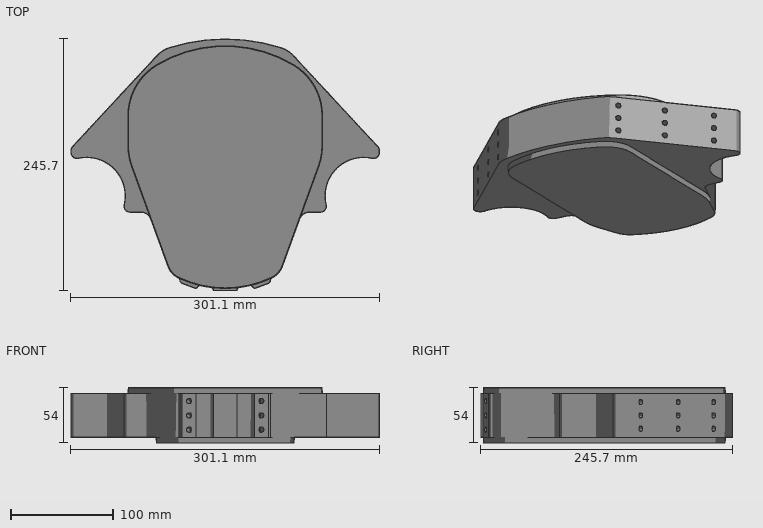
import cadquery as cq
import math

COVER_THICKNESS = 5.5
BLOCK_HEIGHT = 43.0
BLOCK_BOTTOM = COVER_THICKNESS
BLOCK_TOP = BLOCK_BOTTOM + BLOCK_HEIGHT
BLOCK_MIDDLE = BLOCK_BOTTOM + BLOCK_HEIGHT / 2

BACK_RADIUS = 130.2
FRONT_RADIUS = 106.6
TOP_HALF_WIDTH = 95.0
TOP_BACK_CORNER_RADIUS = 58.0
BOTTOM_HALF_WIDTH = 67.6
BOTTOM_BACK_CORNER_RADIUS = 29.0
TAPER_START_Y = 22.4
TAPER_ANGLE = math.radians(20)
COVER_DRAFT = 6.0
SIDE_BLEND_RADIUS = 60.0
FRONT_CORNER_RADIUS = 20.0

OVERALL_LENGTH = 245.66
BLOCK_BACK_Y = 136.8
WING_BACK_RADIUS = 180.0
WING_SHOULDER_X = 61.6
WING_SHOULDER_RADIUS = 28.0
OVERALL_WIDTH = 301.11
TIP_X = OVERALL_WIDTH / 2
TIP_Y = 30.1
BITE_CENTER_X = 135.1
BITE_CENTER_Y = -16.3
BITE_RADIUS = 37.5
FOOT_Y = -32.3
WING_EDGE_RADIUS = 6.0
FOOT_ROOT_RADIUS = 10.0

CENTER_PAD_HALF_WIDTH = 11.5
CENTER_PAD_FRONT_Y = BLOCK_BACK_Y - OVERALL_LENGTH
CENTER_PAD_SLOPE = math.radians(75)
SIDE_PAD_WIDTH = 14.9
SIDE_PAD_X = 35.4
SIDE_PAD_Y = -104.2
SIDE_PAD_ANGLE = math.radians(20.5)
SIDE_PAD_EDGE_BEVEL = 1.8
SIDE_PAD_INNER_SLOPE = math.radians(45)
SIDE_PAD_OUTER_ROOT_RADIUS = 3.0
PAD_BACK_Y = -85.0

GROOVE_FLOOR_RADIUS = 105.2
GROOVE_CORNER_RADIUS = 5.3

HOLE_DIAMETER = 5.0
HOLE_DEPTH = 10.0
WING_HOLE_YS = (118.4, 83.8, 47.3)
WING_HOLE_PITCH_Z = 13.0
PAD_HOLE_PITCH_Z = 14.0


def fillet_uprights(solid, points, radius):
    """Round the vertical edge nearest to each (x, y, z) point."""
    for point in points:
        solid = solid.edges("|Z").edges(cq.selectors.NearestToPointSelector(point)).fillet(radius)
    return solid


def both_sides(x, y, z):
    return [(-x, y, z), (x, y, z)]


def taper_x(y):
    """X of the tapered side at a given Y."""
    return TOP_HALF_WIDTH - (TAPER_START_Y - y) * math.tan(TAPER_ANGLE)


def housing_slab(half_width, back_corner_radius, bottom, height):
    """Straight-sided slab with the housing outline."""
    back_y = math.sqrt(BACK_RADIUS**2 - half_width**2)
    taper_y = TAPER_START_Y - (TOP_HALF_WIDTH - half_width) / math.tan(TAPER_ANGLE)

    line_offset = taper_x(0) * math.cos(TAPER_ANGLE)
    line_reach = math.sqrt(FRONT_RADIUS**2 - line_offset**2)
    front_x = line_offset * math.cos(TAPER_ANGLE) - line_reach * math.sin(TAPER_ANGLE)
    front_y = -line_offset * math.sin(TAPER_ANGLE) - line_reach * math.cos(TAPER_ANGLE)

    slab = (
        cq.Workplane("XY")
        .workplane(offset=bottom)
        .moveTo(-half_width, back_y)
        .threePointArc((0, BACK_RADIUS), (half_width, back_y))
        .lineTo(half_width, taper_y)
        .lineTo(front_x, front_y)
        .threePointArc((0, -FRONT_RADIUS), (-front_x, front_y))
        .lineTo(-half_width, taper_y)
        .close()
        .extrude(height)
    )
    middle = bottom + height / 2
    slab = fillet_uprights(slab, both_sides(half_width, back_y, middle), back_corner_radius)
    slab = fillet_uprights(slab, both_sides(half_width, taper_y, middle), SIDE_BLEND_RADIUS)
    return fillet_uprights(slab, both_sides(front_x, front_y, middle), FRONT_CORNER_RADIUS)


def drafted_cover(base_face):
    """Cover that grows out of a housing-shaped face and narrows away from it."""
    return base_face.wires().toPending().workplane().extrude(
        COVER_THICKNESS, taper=COVER_DRAFT, combine=False
    )


def wing_shoulder_y():
    drop = WING_BACK_RADIUS - math.sqrt(WING_BACK_RADIUS**2 - WING_SHOULDER_X**2)
    return BLOCK_BACK_Y - drop


def wing_block():
    """Both wings with their bites and feet, all outer corners rounded."""
    shoulder_y = wing_shoulder_y()
    tip_low_y = BITE_CENTER_Y + math.sqrt(BITE_RADIUS**2 - (TIP_X - BITE_CENTER_X) ** 2)
    foot_x = BITE_CENTER_X - math.sqrt(BITE_RADIUS**2 - (FOOT_Y - BITE_CENTER_Y) ** 2)
    bite_mid_x = BITE_CENTER_X - BITE_RADIUS * math.cos(math.pi / 4)
    bite_mid_y = BITE_CENTER_Y + BITE_RADIUS * math.sin(math.pi / 4)
    block = (
        cq.Workplane("XY")
        .workplane(offset=BLOCK_BOTTOM)
        .moveTo(-WING_SHOULDER_X, shoulder_y)
        .threePointArc((0, BLOCK_BACK_Y), (WING_SHOULDER_X, shoulder_y))
        .lineTo(TIP_X, TIP_Y)
        .lineTo(TIP_X, tip_low_y)
        .threePointArc((bite_mid_x, bite_mid_y), (foot_x, FOOT_Y))
        .lineTo(-foot_x, FOOT_Y)
        .threePointArc((-bite_mid_x, bite_mid_y), (-TIP_X, tip_low_y))
        .lineTo(-TIP_X, TIP_Y)
        .close()
        .extrude(BLOCK_HEIGHT)
    )
    block = fillet_uprights(
        block, both_sides(WING_SHOULDER_X, shoulder_y, BLOCK_MIDDLE), WING_SHOULDER_RADIUS
    )
    for x, y in ((TIP_X, TIP_Y), (TIP_X, tip_low_y), (foot_x, FOOT_Y)):
        block = fillet_uprights(block, both_sides(x, y, BLOCK_MIDDLE), WING_EDGE_RADIUS)
    return block


def root_point(x, y, slope, side, radius):
    """Point where a pad side meets a circle about the Z axis, halfway up the block.

    The side starts at (x, y) and rises towards +Y at the slope, heading towards +X or -X (side 1 or -1).
    """
    step_x = side * math.cos(slope)
    step_y = math.sin(slope)
    along = x * step_x + y * step_y
    run = -along - math.sqrt(along**2 - (x**2 + y**2 - radius**2))
    return (x + run * step_x, y + run * step_y, BLOCK_MIDDLE)


def sink_groove_floor(block):
    """Lower the front of the block between the two side pads; the pads then stand on this floor."""
    width = 2 * SIDE_PAD_X
    depth = FRONT_RADIUS + PAD_BACK_Y
    base = cq.Workplane("XY").workplane(offset=BLOCK_BOTTOM)
    front = base.center(0, PAD_BACK_Y - depth / 2).rect(width, depth).extrude(BLOCK_HEIGHT)
    return block.cut(front.cut(base.circle(GROOVE_FLOOR_RADIUS).extrude(BLOCK_HEIGHT)))


def pad_prism(points):
    return cq.Workplane("XY").workplane(offset=BLOCK_BOTTOM).polyline(points).close().extrude(BLOCK_HEIGHT)


def add_center_pad(block):
    front_x = CENTER_PAD_HALF_WIDTH
    front_y = CENTER_PAD_FRONT_Y
    back_x = front_x + (PAD_BACK_Y - front_y) / math.tan(CENTER_PAD_SLOPE)
    outline = [(-front_x, front_y), (front_x, front_y), (back_x, PAD_BACK_Y), (-back_x, PAD_BACK_Y)]
    block = block.union(pad_prism(outline))
    root = root_point(front_x, front_y, CENTER_PAD_SLOPE, 1, GROOVE_FLOOR_RADIUS)
    return fillet_uprights(block, both_sides(*root), GROOVE_CORNER_RADIUS)


def add_side_pads(block):
    half_run = SIDE_PAD_WIDTH / 2 * math.cos(SIDE_PAD_ANGLE)
    half_rise = SIDE_PAD_WIDTH / 2 * math.sin(SIDE_PAD_ANGLE)
    inner_x = SIDE_PAD_X - half_run
    inner_y = SIDE_PAD_Y - half_rise
    outer_x = SIDE_PAD_X + half_run
    outer_y = SIDE_PAD_Y + half_rise
    wall_x = outer_x + SIDE_PAD_EDGE_BEVEL
    wall_y = outer_y + SIDE_PAD_EDGE_BEVEL
    back_x = inner_x - (PAD_BACK_Y - inner_y) / math.tan(SIDE_PAD_INNER_SLOPE)
    outline = [
        (inner_x, inner_y),
        (outer_x, outer_y),
        (wall_x, wall_y),
        (wall_x, PAD_BACK_Y),
        (back_x, PAD_BACK_Y),
    ]
    pad = pad_prism(outline)
    block = block.union(pad).union(pad.mirror("YZ"))
    inner_root = root_point(inner_x, inner_y, SIDE_PAD_INNER_SLOPE, -1, GROOVE_FLOOR_RADIUS)
    outer_root = root_point(wall_x, wall_y, math.pi / 2, 1, FRONT_RADIUS)
    block = fillet_uprights(block, both_sides(*inner_root), GROOVE_CORNER_RADIUS)
    return fillet_uprights(block, both_sides(*outer_root), SIDE_PAD_OUTER_ROOT_RADIUS)


def drill(solid, origin, normal):
    hole = cq.Workplane(cq.Plane(origin=origin, xDir=(0, 0, 1), normal=normal))
    return solid.cut(hole.circle(HOLE_DIAMETER / 2).extrude(-HOLE_DEPTH))


def drill_wings(block):
    """Three by three holes square to each slanted wing face."""
    run = TIP_X - WING_SHOULDER_X
    drop = wing_shoulder_y() - TIP_Y
    for side in (-1, 1):
        for y in WING_HOLE_YS:
            x = TIP_X - (y - TIP_Y) * run / drop
            for row in (-1, 0, 1):
                origin = (side * x, y, BLOCK_MIDDLE + row * WING_HOLE_PITCH_Z)
                block = drill(block, origin, (side * drop, run, 0))
    return block


def drill_side_pads(block):
    """A column of three holes in each side pad."""
    for side in (-1, 1):
        normal = (side * math.sin(SIDE_PAD_ANGLE), -math.cos(SIDE_PAD_ANGLE), 0)
        for row in (-1, 0, 1):
            origin = (side * SIDE_PAD_X, SIDE_PAD_Y, BLOCK_MIDDLE + row * PAD_HOLE_PITCH_Z)
            block = drill(block, origin, normal)
    return block


core = housing_slab(TOP_HALF_WIDTH, TOP_BACK_CORNER_RADIUS, BLOCK_BOTTOM, BLOCK_HEIGHT)
top_cover = drafted_cover(core.faces(">Z"))
bottom_base = housing_slab(BOTTOM_HALF_WIDTH, BOTTOM_BACK_CORNER_RADIUS, BLOCK_BOTTOM, BLOCK_HEIGHT)
bottom_cover = drafted_cover(bottom_base.faces("<Z"))

block = core.union(wing_block())
foot_roots = both_sides(taper_x(FOOT_Y), FOOT_Y, BLOCK_MIDDLE)
block = fillet_uprights(block, foot_roots, FOOT_ROOT_RADIUS)
block = add_center_pad(add_side_pads(sink_groove_floor(block)))
block = drill_side_pads(drill_wings(block))

result = block.union(bottom_cover).union(top_cover)